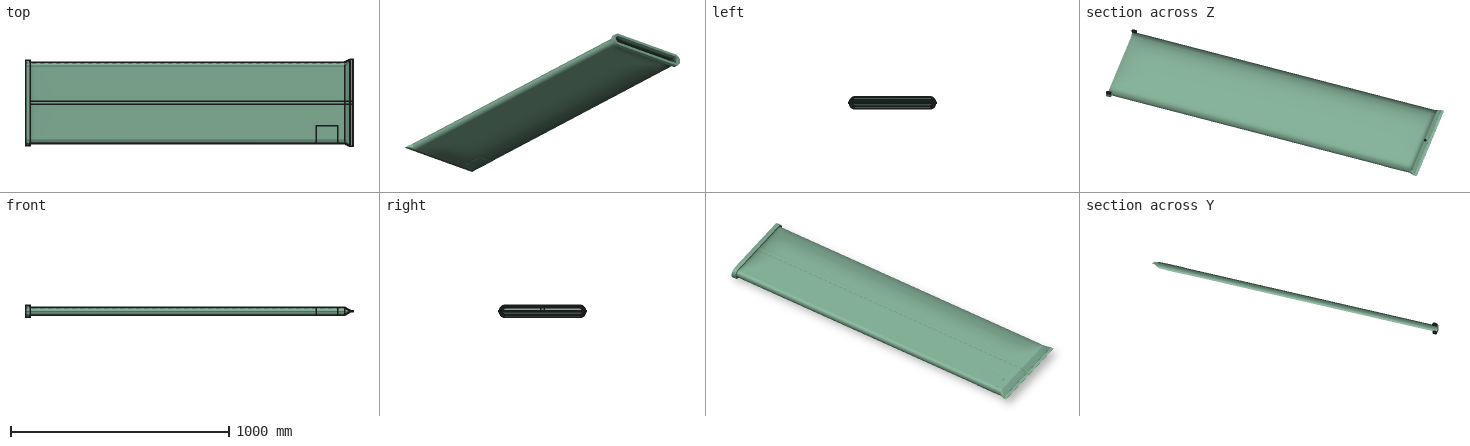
import cadquery as cq
import math

LENGTH = 1500.0
FLAT_WIDTH = 338.0
BODY_HEIGHT = 36.0
WALL = 2.0
SIDE_FLAT = 1.0
BORE_HEIGHT = BODY_HEIGHT - 2 * WALL
BODY_WIDTH = FLAT_WIDTH + BODY_HEIGHT - SIDE_FLAT

COLLAR_HEIGHT = 55.0
COLLAR_LENGTH = 20.0

TAPER_START = 1460.0
SEAM_START = 1487.0
SEAM_WIDTH = 400.0
SEAM_THICKNESS = 2.0
SEAM_STEP = 1.0
TAPER_END_HEIGHT = SEAM_THICKNESS + 2 * SEAM_STEP
TAPER_CAVITY_END_HEIGHT = SEAM_THICKNESS
CAVITY_END_MARGIN = 4.0
TAPER_CAVITY_END_WIDTH = SEAM_WIDTH - 2 * CAVITY_END_MARGIN

OVERLAY = 1.0
STRIP_WIDTH = 14.0
PATCH_START = 1330.0
PATCH_LENGTH = 100.0
PATCH_INNER_Y = -105.0


def outline(x, width, height):
    """Closed outline at x: flat top and bottom, round sides with a narrow flat at mid height."""
    side = width / 2
    top = height / 2
    radius = top - SIDE_FLAT / 2
    inset = radius * (1 - math.sqrt(0.5))
    path = cq.Workplane("YZ", origin=(x, 0, 0)).moveTo(radius - side, -top)
    for y_sign, z_sign in ((1, -1), (-1, 1)):
        flat_end = (y_sign * (side - radius), z_sign * top)
        first_arc_middle = (y_sign * (side - inset), z_sign * (top - inset))
        first_arc_end = (y_sign * side, z_sign * SIDE_FLAT / 2)
        second_arc_start = (y_sign * side, -z_sign * SIDE_FLAT / 2)
        second_arc_middle = (y_sign * (side - inset), -z_sign * (top - inset))
        second_arc_end = (y_sign * (side - radius), -z_sign * top)
        path = (
            path.lineTo(*flat_end)
            .threePointArc(first_arc_middle, first_arc_end)
            .lineTo(*second_arc_start)
            .threePointArc(second_arc_middle, second_arc_end)
        )
    return path.close()


def sleeve_outline(x, height):
    """Outline at x that keeps the sleeve's flat width at the given height."""
    return outline(x, FLAT_WIDTH + height - SIDE_FLAT, height)


def sleeve_bar(start, end, height):
    """Solid bar with the sleeve's flat width and the given height."""
    return sleeve_outline(start, height).extrude(end - start)


def taper(start_height, end_x, end_width, end_height):
    """Straight-sided solid from the sleeve section to a wider, thin section."""
    start_wire = sleeve_outline(TAPER_START, start_height).val()
    end_wire = outline(end_x, end_width, end_height).val()
    return cq.Workplane(cq.Solid.makeLoft([start_wire, end_wire], True))


def make_outside():
    body = sleeve_bar(0, TAPER_START, BODY_HEIGHT)
    collar = sleeve_bar(0, COLLAR_LENGTH, COLLAR_HEIGHT)
    closing = taper(BODY_HEIGHT, SEAM_START, SEAM_WIDTH, TAPER_END_HEIGHT)
    seam = outline(SEAM_START, SEAM_WIDTH, SEAM_THICKNESS).extrude(LENGTH - SEAM_START)
    return body.union(collar).union(closing).union(seam)


def make_cavity():
    bore = sleeve_bar(0, TAPER_START, BORE_HEIGHT)
    tip = taper(BORE_HEIGHT, SEAM_START - WALL, TAPER_CAVITY_END_WIDTH, TAPER_CAVITY_END_HEIGHT)
    return bore.union(tip)


def make_strip():
    """Strip on the top face, following the taper down onto the seam."""
    body_top = BODY_HEIGHT / 2
    taper_top = TAPER_END_HEIGHT / 2
    seam_top = SEAM_THICKNESS / 2
    return (
        cq.Workplane("XZ", origin=(0, STRIP_WIDTH / 2, 0))
        .moveTo(COLLAR_LENGTH, body_top)
        .lineTo(TAPER_START, body_top)
        .lineTo(SEAM_START, taper_top)
        .lineTo(SEAM_START, seam_top)
        .lineTo(LENGTH, seam_top)
        .lineTo(LENGTH, seam_top + OVERLAY)
        .lineTo(SEAM_START, taper_top + OVERLAY)
        .lineTo(TAPER_START, body_top + OVERLAY)
        .lineTo(COLLAR_LENGTH, body_top + OVERLAY)
        .close()
        .extrude(STRIP_WIDTH)
    )


def make_patch():
    """Layer wrapped around the -Y side, from the top face to the bottom face."""
    end = PATCH_START + PATCH_LENGTH
    layer = sleeve_bar(PATCH_START, end, BODY_HEIGHT + 2 * OVERLAY)
    layer = layer.cut(sleeve_bar(PATCH_START, end, BODY_HEIGHT))
    keep = cq.Workplane("XY", origin=(PATCH_START, PATCH_INNER_Y - BODY_WIDTH, 0)).box(
        PATCH_LENGTH, BODY_WIDTH, COLLAR_HEIGHT, centered=(False, False, True)
    )
    return layer.intersect(keep)


shell = make_outside().cut(make_cavity())
result = shell.union(make_strip()).union(make_patch())